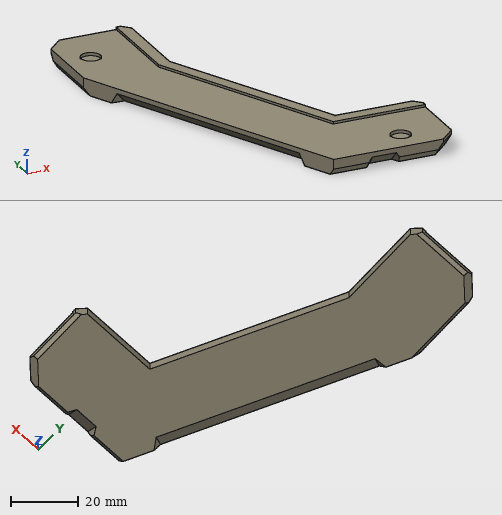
import cadquery as cq
import math

LENGTH = 113.5
WIDTH = 83.5
THICKNESS = 6.0
LEG_WIDTH = 27.6
SLANT_SLOPE = 2.0
OUTER_LEG_LENGTH = 28.1
INNER_LEG_LENGTH = 29.4
OUTER_CORNER = 5.0
INNER_CORNER = 2.5

RIM_HEIGHT = 0.8
RIM_WIDTH = 4.0

DRAFT = math.tan(math.radians(30))
EDGE_BEVEL_HEIGHT = 2.0
CORNER_BEVEL_HEIGHT = 4.1

HOLE_DIAMETER = 6.4
HOLE_DEPTH = 1.0
HOLE_SIDE_INSET = 8.4
HOLE_END_INSET = 15.1

NOTCH_HEIGHT = 3.6
SLANT_NOTCH_LENGTH = 69.5
SLANT_NOTCH_START = 12.8
LEG_NOTCH_LENGTH = 7.8
LEG_NOTCH_START = 12.7

plate_top = THICKNESS - RIM_HEIGHT
outer_bend = (0, LENGTH - OUTER_LEG_LENGTH)
outer_elbow = (outer_bend[1] / SLANT_SLOPE, 0)
inner_bend = (LEG_WIDTH, LENGTH - INNER_LEG_LENGTH)
inner_elbow = (LEG_WIDTH + (inner_bend[1] - LEG_WIDTH) / SLANT_SLOPE, LEG_WIDTH)

left_side = [
    outer_bend,
    (0, LENGTH - OUTER_CORNER),
    (OUTER_CORNER, LENGTH),
    (LEG_WIDTH - INNER_CORNER, LENGTH),
]
inner_side = [
    (LEG_WIDTH, LENGTH - INNER_CORNER),
    inner_bend,
    inner_elbow,
    (WIDTH - INNER_CORNER, LEG_WIDTH),
]
lower_side = [
    (WIDTH, LEG_WIDTH - INNER_CORNER),
    (WIDTH, OUTER_CORNER),
    (WIDTH - OUTER_CORNER, 0),
    outer_elbow,
]


def unit_along(start, end):
    """Unit direction from start to end; the part lies on its right-hand side."""
    length = math.dist(start, end)
    return (end[0] - start[0]) / length, (end[1] - start[1]) / length


def plate_with_rim():
    """Full-height outline, lowered everywhere except along the inner side."""
    body = cq.Workplane("XY").polyline(left_side + inner_side + lower_side).close().extrude(THICKNESS)
    slant_factor = math.hypot(1, SLANT_SLOPE)
    bend_shift = RIM_WIDTH * (slant_factor - SLANT_SLOPE)
    elbow_shift = RIM_WIDTH * (slant_factor - 1) / SLANT_SLOPE
    rim_line = LEG_WIDTH - RIM_WIDTH
    lowered_area = [
        (0, 0),
        (0, LENGTH),
        (rim_line, LENGTH),
        (rim_line, inner_bend[1] - bend_shift),
        (inner_elbow[0] - elbow_shift, rim_line),
        (WIDTH, rim_line),
        (WIDTH, 0),
    ]
    lowered = cq.Workplane("XY").workplane(offset=plate_top).polyline(lowered_area).close().extrude(RIM_HEIGHT)
    return body.cut(lowered)


def edge_bevel(start, end, height):
    """Wedge that bevels the bottom edge on the straight line through two corners."""
    along = unit_along(start, end)
    inward = (along[1], -along[0], 0)
    section_plane = cq.Plane(
        origin=(start[0], start[1], 0), xDir=inward, normal=(-along[0], -along[1], 0)
    )
    section = [(-height, 0), (height * DRAFT, 0), (0, height), (-height, height)]
    return cq.Workplane(section_plane).polyline(section).close().extrude(LENGTH, both=True)


def edge_notch(start, direction, length):
    """Undercut below an edge line: full length on top and at the back, wider at the bottom front."""
    inward = (direction[1], -direction[0])
    spread = NOTCH_HEIGHT * DRAFT

    def point(along, depth, z):
        x = start[0] + along * direction[0] + depth * inward[0]
        y = start[1] + along * direction[1] + depth * inward[1]
        return cq.Vector(x, y, z)

    top_a = point(0, 0, NOTCH_HEIGHT)
    top_b = point(length, 0, NOTCH_HEIGHT)
    front_a = point(-spread, 0, 0)
    front_b = point(length + spread, 0, 0)
    back_a = point(0, NOTCH_HEIGHT, 0)
    back_b = point(length, NOTCH_HEIGHT, 0)
    loops = [
        [top_a, top_b, front_b, front_a],
        [top_a, back_a, back_b, top_b],
        [front_a, front_b, back_b, back_a],
        [top_a, front_a, back_a],
        [top_b, back_b, front_b],
    ]
    faces = [cq.Face.makeFromWires(cq.Wire.makePolygon(loop, close=True)) for loop in loops]
    return cq.Workplane(obj=cq.Solid.makeSolid(cq.Shell.makeShell(faces)))


body = plate_with_rim()

bevel_heights = [EDGE_BEVEL_HEIGHT, CORNER_BEVEL_HEIGHT, EDGE_BEVEL_HEIGHT]
for side in (left_side, lower_side):
    for start, end, height in zip(side, side[1:], bevel_heights):
        body = body.cut(edge_bevel(start, end, height))

slant_direction = unit_along(outer_elbow, outer_bend)
slant_notch_end = SLANT_NOTCH_START + SLANT_NOTCH_LENGTH
slant_notch_corner = (
    outer_bend[0] - slant_notch_end * slant_direction[0],
    outer_bend[1] - slant_notch_end * slant_direction[1],
)
body = body.cut(edge_notch(slant_notch_corner, slant_direction, SLANT_NOTCH_LENGTH))

leg_notch_corner = (outer_elbow[0] + LEG_NOTCH_START + LEG_NOTCH_LENGTH, 0)
body = body.cut(edge_notch(leg_notch_corner, (-1, 0), LEG_NOTCH_LENGTH))

hole_centers = [
    (HOLE_SIDE_INSET, LENGTH - HOLE_END_INSET),
    (WIDTH - HOLE_END_INSET, HOLE_SIDE_INSET),
]
holes = (
    cq.Workplane("XY")
    .workplane(offset=plate_top - HOLE_DEPTH)
    .pushPoints(hole_centers)
    .circle(HOLE_DIAMETER / 2)
    .extrude(HOLE_DEPTH)
)
result = body.cut(holes)